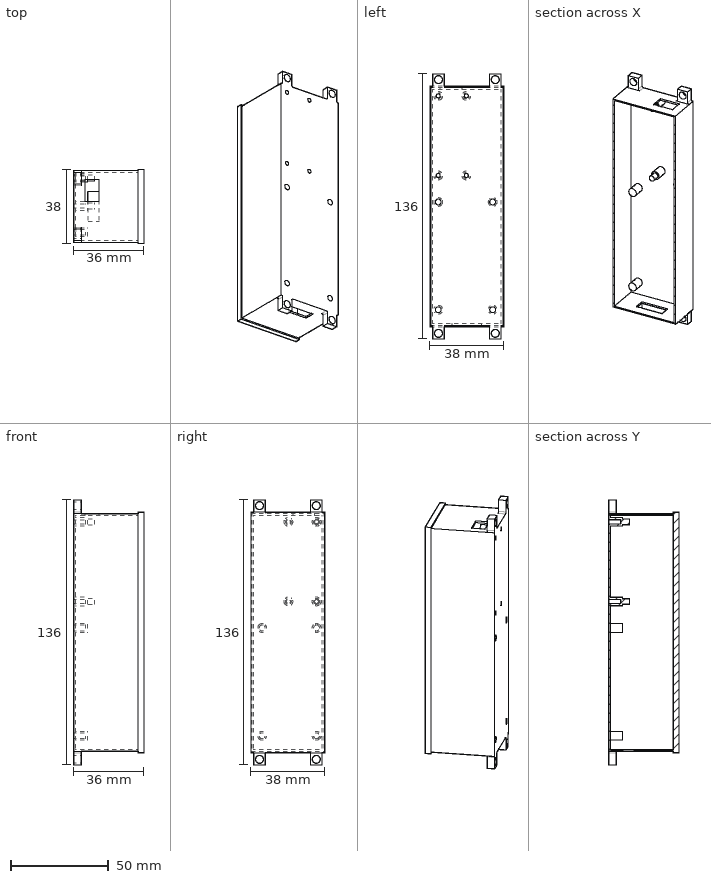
import cadquery as cq

wall = 1.0
overall_depth = 36.0
cover_thickness = 3.0
body_depth = overall_depth - cover_thickness
body_width = 37.0
body_height = 121.9

cover_width = 38.0
cover_height = 123.4

overall_height = 136.0
ear_thickness = 4.0
ear_width = 6.0
ear_spacing = 29.1
ear_hole_diameter = 4.0
ear_hole_spacing = 130.0
ear_flare = 0.8

window_x = (5.8, 12.9)
window_y = (2.6, 13.7)
cutout_x = (7.2, window_x[1])
cutout_y = (-7.6, 7.6)

post_base_diameter = 4.5
post_base_end = 7.1
post_pin_diameter = 3.0
post_pin_end = 10.7
post_bore_diameter = 2.0
post_bore_depth = post_base_end - wall
post_y = (0.3, 14.7)
post_z = (15.9, 56.7)

boss_diameter = 4.5
boss_end = post_base_end
boss_bore_diameter = 3.0
boss_bore_depth = boss_end - wall
boss_y = (-13.2, 14.7)
boss_z = (-52.9, 2.3)


def centred_block(x_start, x_end, width, height):
    """Block centred on the X axis."""
    return cq.Workplane("YZ", origin=(x_start, 0, 0)).rect(width, height).extrude(x_end - x_start)


def rod(diameter, length, y, z):
    """Cylinder that starts on the outer back face and runs along +X."""
    return cq.Workplane("YZ", origin=(0, y, z)).circle(diameter / 2).extrude(length)


def wall_opening(x_limits, y_limits, z_low):
    """Rectangular cutter as thick as one wall."""
    (x_low, x_high), (y_low, y_high) = x_limits, y_limits
    cutter = cq.Workplane("XY").box(x_high - x_low, y_high - y_low, wall, centered=False)
    return cutter.translate((x_low, y_low, z_low))


def make_ear(y, side):
    """Ear with a foot flared by concave fillets; side is +1 at the top and -1 at the bottom."""
    root = side * (body_height / 2 - wall)
    foot = side * body_height / 2
    flare_end = side * (body_height / 2 + ear_flare)
    tip = side * overall_height / 2
    half_width = ear_width / 2
    half_foot = half_width + ear_flare
    ear = (
        cq.Workplane("YZ")
        .moveTo(y - half_foot, root)
        .lineTo(y - half_foot, foot)
        .radiusArc((y - half_width, flare_end), -side * ear_flare)
        .lineTo(y - half_width, tip)
        .lineTo(y + half_width, tip)
        .lineTo(y + half_width, flare_end)
        .radiusArc((y + half_foot, foot), -side * ear_flare)
        .lineTo(y + half_foot, root)
        .close()
        .extrude(ear_thickness)
    )
    return ear.cut(rod(ear_hole_diameter, ear_thickness, y, side * ear_hole_spacing / 2))


result = centred_block(0, body_depth, body_width, body_height)
result = result.cut(centred_block(wall, body_depth, body_width - 2 * wall, body_height - 2 * wall))
result = result.union(centred_block(body_depth, overall_depth, cover_width, cover_height))

for side in (-1, 1):
    for y in (-ear_spacing / 2, ear_spacing / 2):
        result = result.union(make_ear(y, side))

for y in post_y:
    for z in post_z:
        result = result.union(rod(post_base_diameter, post_base_end, y, z))
        result = result.union(rod(post_pin_diameter, post_pin_end, y, z))
        result = result.cut(rod(post_bore_diameter, post_bore_depth, y, z))

for y in boss_y:
    for z in boss_z:
        result = result.union(rod(boss_diameter, boss_end, y, z))
        result = result.cut(rod(boss_bore_diameter, boss_bore_depth, y, z))

result = result.cut(wall_opening(window_x, window_y, body_height / 2 - wall))
result = result.cut(wall_opening(cutout_x, cutout_y, -body_height / 2))